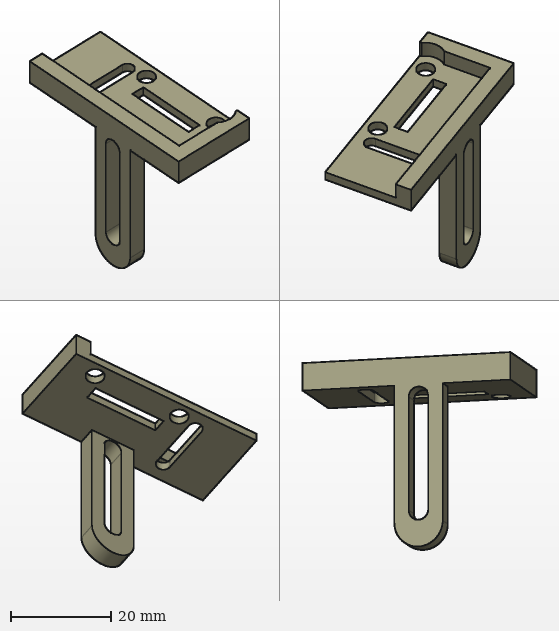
import cadquery as cq

length = 43.0
depth = 19.5
tray_height = 5.6
floor_thickness = 2.0
front_wall = 3.5
right_wall = 3.5

hole_diameter = 3.8
hole_spacing = 20.05
last_hole_x = 36.5
hole_y = depth - 3.0
relief_radius = 3.95

window_length = 16.2
window_width = 3.0
window_left = 18.4
window_back_margin = 5.7
floor_slot_width = 3.0
floor_slot_x = 12.0
floor_slot_back_margin = 2.5
floor_slot_travel = 11.52

total_height = 38.5
leg_width = 10.0
leg_thickness = 3.9
leg_x = 24.0
leg_slot_width = 4.0
leg_slot_top = 6.0
leg_slot_bottom = 33.02

floor_top = floor_thickness - tray_height


def block(x0, x1, y0, y1, z0, z1):
    """Box given by its limits along each axis."""
    return cq.Workplane("XY").box(x1 - x0, y1 - y0, z1 - z0, centered=False).translate((x0, y0, z0))


def upright_cylinder(x, y, radius, z0, z1):
    return cq.Workplane("XY").center(x, y).circle(radius).extrude(z1 - z0).translate((0, 0, z0))


def cross_cylinder(z, radius):
    """Cylinder along Y through the leg's thickness."""
    return cq.Workplane("XZ").center(leg_x, z).circle(radius).extrude(-leg_thickness)


def make_tray():
    tray = block(0, length, 0, depth, -tray_height, 0)
    tray = tray.cut(block(0, length - right_wall, front_wall, depth, floor_top, 0))
    tray = tray.cut(upright_cylinder(last_hole_x, hole_y, relief_radius, floor_top, 0))
    for hole_x in (last_hole_x - hole_spacing, last_hole_x):
        tray = tray.cut(upright_cylinder(hole_x, hole_y, hole_diameter / 2, -tray_height, 0))

    window_back = depth - window_back_margin
    tray = tray.cut(block(window_left, window_left + window_length,
                          window_back - window_width, window_back, -tray_height, floor_top))

    slot_radius = floor_slot_width / 2
    back_arc_y = depth - floor_slot_back_margin - slot_radius
    front_arc_y = back_arc_y - floor_slot_travel
    tray = tray.cut(block(floor_slot_x - slot_radius, floor_slot_x + slot_radius,
                          front_arc_y, back_arc_y, -tray_height, floor_top))
    for arc_y in (front_arc_y, back_arc_y):
        tray = tray.cut(upright_cylinder(floor_slot_x, arc_y, slot_radius, -tray_height, floor_top))
    return tray


def make_leg():
    leg_radius = leg_width / 2
    end_z = leg_radius - total_height
    leg = block(leg_x - leg_radius, leg_x + leg_radius, 0, leg_thickness, end_z, -tray_height)
    leg = leg.union(cross_cylinder(end_z, leg_radius))

    slot_radius = leg_slot_width / 2
    upper_z = -leg_slot_top - slot_radius
    lower_z = -leg_slot_bottom + slot_radius
    leg = leg.cut(block(leg_x - slot_radius, leg_x + slot_radius, 0, leg_thickness, lower_z, upper_z))
    for z in (upper_z, lower_z):
        leg = leg.cut(cross_cylinder(z, slot_radius))
    return leg


result = make_tray().union(make_leg())